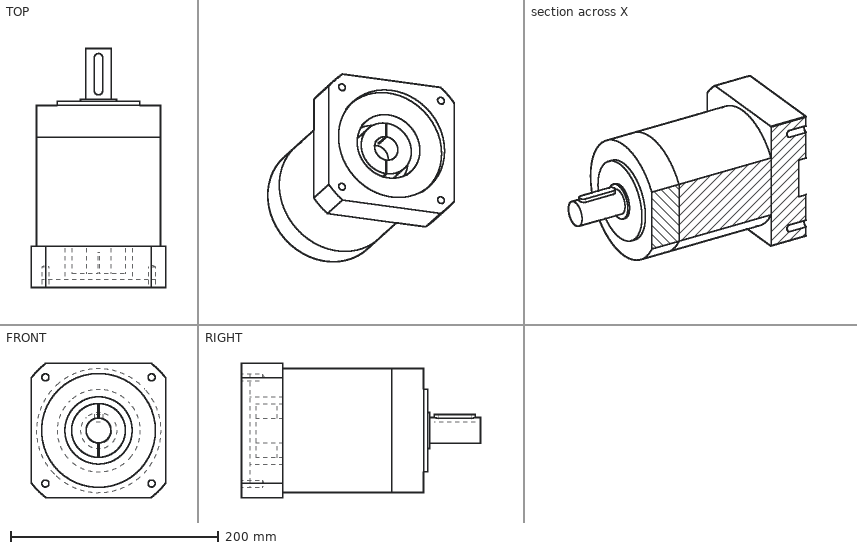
import cadquery as cq
import math


flange_rear = 40.0
housing_joint = 145.0
housing_end = 176.0
pilot_end = 180.0
shoulder_end = 182.0
shaft_tip = 231.0

flange_width = 130.0
flange_corner_diameter = 165.0
pilot_recess_diameter = 110.0
pilot_recess_depth = 8.0
hub_chamber_diameter = 65.0

bolt_circle_diameter = 145.0
bolt_hole_count = 4
bolt_hole_diameter = 6.8
bolt_hole_depth = 20.0
drill_point_angle = 118.0

hub_diameter = 52.0
hub_front = 14.0
hub_bore_diameter = 24.0
hub_slit_width = 1.0
hub_slit_depth = 20.0

housing_diameter = 120.0
output_pilot_diameter = 80.0

shaft_diameter = 25.0
shoulder_diameter = 35.0
key_width = 8.0
key_height = 7.0
key_length = 40.0
key_end_margin = 5.0
key_seat_depth = 4.0
key_bottom = shaft_diameter / 2 - key_seat_depth
key_center = shaft_tip - key_end_margin - key_length / 2


def cylinder(diameter, y_start, y_end):
    """Solid cylinder on the gearbox axis between two stations."""
    start_plane = cq.Workplane("XZ", origin=(0, y_start, 0))
    return start_plane.circle(diameter / 2).extrude(y_start - y_end)


def drilled_hole():
    """Blind hole with a conical drill point, entering the motor face on the axis."""
    radius = bolt_hole_diameter / 2
    point_length = radius / math.tan(math.radians(drill_point_angle / 2))
    profile = (
        cq.Workplane("XY")
        .lineTo(radius, 0)
        .lineTo(radius, bolt_hole_depth)
        .lineTo(0, bolt_hole_depth + point_length)
        .close()
    )
    return profile.revolve(360, (0, 0, 0), (0, 1, 0))


def make_motor_flange():
    """Square flange with corners rounded by a large circle, a stepped bore and mounting holes."""
    square = cq.Workplane("XZ").rect(flange_width, flange_width).extrude(-flange_rear)
    flange = square.intersect(cylinder(flange_corner_diameter, 0, flange_rear))
    flange = flange.cut(cylinder(pilot_recess_diameter, 0, pilot_recess_depth))
    flange = flange.cut(cylinder(hub_chamber_diameter, 0, flange_rear))
    for index in range(bolt_hole_count):
        angle = math.radians(45 + index * 360 / bolt_hole_count)
        x = bolt_circle_diameter / 2 * math.cos(angle)
        z = bolt_circle_diameter / 2 * math.sin(angle)
        flange = flange.cut(drilled_hole().translate((x, 0, z)))
    return flange


def make_clamping_hub():
    """Hub with a through bore for the motor shaft, slit across its front part."""
    hub = cylinder(hub_diameter, hub_front, flange_rear)
    hub = hub.cut(cylinder(hub_bore_diameter, hub_front, flange_rear))
    slit = cq.Workplane("XZ", origin=(0, hub_front, 0)).rect(hub_slit_width, hub_diameter)
    return hub.cut(slit.extrude(-hub_slit_depth))


def make_gear_housing():
    """Plain cylinder between the motor flange and the output housing."""
    return cylinder(housing_diameter, flange_rear, housing_joint)


def make_output_housing():
    """Output end cylinder with its centring pilot."""
    housing = cylinder(housing_diameter, housing_joint, housing_end)
    return housing.union(cylinder(output_pilot_diameter, housing_end, pilot_end))


def make_key():
    """Round-ended parallel key on top of the shaft."""
    seat = cq.Workplane("XY", origin=(0, key_center, key_bottom))
    return seat.slot2D(key_length, key_width, 90).extrude(key_height)


def make_output_shaft():
    """Shaft with a shoulder against the pilot face and a seat for the key."""
    shaft = cylinder(shaft_diameter, pilot_end, shaft_tip)
    shaft = shaft.union(cylinder(shoulder_diameter, pilot_end, shoulder_end))
    return shaft.cut(make_key())


motor_flange = make_motor_flange()
clamping_hub = make_clamping_hub()
gear_housing = make_gear_housing()
output_housing = make_output_housing()
output_shaft = make_output_shaft()
key = make_key()

result = cq.Compound.makeCompound([
    motor_flange.val(),
    clamping_hub.val(),
    gear_housing.val(),
    output_housing.val(),
    output_shaft.val(),
    key.val(),
])